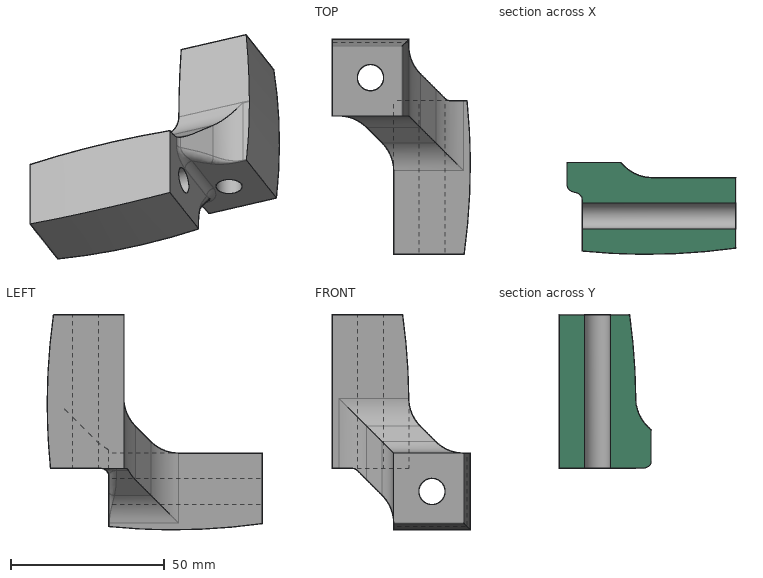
import cadquery as cq
import math

WIDTH_X = 45.0
SPAN = 70.0
ARM = 25.0
ARM_LENGTH = 50.0
BEVEL = ARM / 2
BLEND_RADIUS = 12.7
SMALL_BLEND_RADIUS = 2.5
CROWN_RADIUS = 210.0
CROWN_DISTANCE = 29.0
EDGE_ROUND = 0.25
TAPER_ROUND = 1.9
HOLE_DIAMETER = 8.45

LEVEL_X = WIDTH_X - ARM
UPRIGHT_Y = SPAN - ARM
UPRIGHT_BOTTOM = SPAN - ARM_LENGTH


def crown_drop(distance):
    """Depth of a crowned face below its highest line, at a distance from the arm's outer end."""
    offset = distance - CROWN_DISTANCE
    return CROWN_RADIUS - math.sqrt(CROWN_RADIUS**2 - offset**2)


END_DROP = crown_drop(0)
INNER_DROP = crown_drop(ARM_LENGTH)


def edge_near(body, point):
    """The edge whose centre is closest to a point."""
    return body.edges(cq.selectors.NearestToPointSelector(point))


def prism(plane, outline, depth, blended_corners):
    """Extrude an outline and blend the long edges through the listed outline corners."""
    body = outline.close().extrude(depth)
    for corner in blended_corners:
        middle = plane.toWorldCoords((*corner, depth / 2))
        body = edge_near(body, middle.toTuple()).fillet(BLEND_RADIUS)
    return body


def front_prism():
    """Outline in X and Z, swept through the whole depth along Y."""
    plane = cq.Plane.named("XZ")
    upper_outer = (ARM - crown_drop(SPAN - ARM - BEVEL), ARM + BEVEL)
    upper_inner = (ARM + BEVEL, ARM)
    lower_inner = (LEVEL_X, UPRIGHT_BOTTOM - BEVEL)
    lower_outer = (LEVEL_X - BEVEL, UPRIGHT_BOTTOM)
    outline = (
        cq.Workplane(plane)
        .moveTo(0, SPAN)
        .lineTo(ARM - END_DROP, SPAN)
        .threePointArc((ARM, SPAN - CROWN_DISTANCE), upper_outer)
        .lineTo(*upper_inner)
        .lineTo(WIDTH_X, ARM)
        .lineTo(WIDTH_X, 0)
        .lineTo(LEVEL_X, 0)
        .lineTo(*lower_inner)
        .lineTo(*lower_outer)
        .lineTo(0, UPRIGHT_BOTTOM)
    )
    return prism(plane, outline, -SPAN, [upper_outer, upper_inner, lower_inner])


def top_prism():
    """Outline in X and Y, swept through the whole height along Z."""
    plane = cq.Plane.named("XY")
    back_outer = (ARM, ARM_LENGTH + BEVEL)
    back_inner = (ARM + BEVEL, ARM_LENGTH)
    front_inner = (LEVEL_X, UPRIGHT_Y - BEVEL)
    front_outer = (LEVEL_X - BEVEL, UPRIGHT_Y)
    outline = (
        cq.Workplane(plane)
        .moveTo(0, SPAN)
        .lineTo(ARM, SPAN)
        .lineTo(*back_outer)
        .lineTo(*back_inner)
        .lineTo(WIDTH_X - INNER_DROP, ARM_LENGTH)
        .threePointArc((WIDTH_X, CROWN_DISTANCE), (WIDTH_X - END_DROP, 0))
        .lineTo(LEVEL_X, 0)
        .lineTo(*front_inner)
        .lineTo(*front_outer)
        .lineTo(0, UPRIGHT_Y)
    )
    return prism(plane, outline, SPAN, [back_outer, front_inner, front_outer])


def side_prism():
    """Outline in Y and Z, swept through the whole width along X."""
    plane = cq.Plane.named("YZ")
    inside_corner = (ARM_LENGTH, UPRIGHT_BOTTOM)
    bridge_front = (UPRIGHT_Y - BEVEL, ARM)
    bridge_back = (UPRIGHT_Y, ARM + BEVEL)
    outline = (
        cq.Workplane(plane)
        .moveTo(UPRIGHT_Y, SPAN)
        .lineTo(SPAN - END_DROP, SPAN)
        .threePointArc((SPAN, SPAN - CROWN_DISTANCE), (SPAN - INNER_DROP, UPRIGHT_BOTTOM))
        .lineTo(*inside_corner)
        .lineTo(ARM_LENGTH, INNER_DROP)
        .threePointArc((CROWN_DISTANCE, 0), (0, END_DROP))
        .lineTo(0, ARM)
        .lineTo(*bridge_front)
        .lineTo(*bridge_back)
    )
    return prism(plane, outline, WIDTH_X, [bridge_front, bridge_back])


def arm_holes():
    """One lengthwise hole through the middle of each arm."""
    radius = HOLE_DIAMETER / 2
    upright = (
        cq.Workplane("XY")
        .center(ARM / 2, SPAN - ARM / 2)
        .circle(radius)
        .extrude(SPAN)
    )
    level = (
        cq.Workplane("XZ")
        .center(WIDTH_X - ARM / 2, ARM / 2)
        .circle(radius)
        .extrude(-SPAN)
    )
    return upright.union(level)


def round_bridge_corners(body):
    """Round the two outer corners of the bridge, tapering along each blend to the arm's edge."""
    lower_corner = (LEVEL_X - BEVEL / 2, ARM_LENGTH, UPRIGHT_BOTTOM - BEVEL / 2)
    back_corner = (ARM + BEVEL / 2, ARM_LENGTH + BEVEL / 2, UPRIGHT_BOTTOM)
    taper = [
        (EDGE_ROUND, EDGE_ROUND),
        (EDGE_ROUND, TAPER_ROUND),
        (TAPER_ROUND, SMALL_BLEND_RADIUS),
    ]
    maker = cq.occ_impl.shapes.BRepFilletAPI_MakeFillet(body.val().wrapped)
    for corner in (lower_corner, back_corner):
        maker.Add(edge_near(body, corner).val().wrapped)
        chain = maker.NbContours()
        starts_at_arm = cq.Edge(maker.Edge(chain, 1)).Length() < BEVEL / 2
        for index, (arm_side, bridge_side) in enumerate(taper, start=1):
            if starts_at_arm:
                maker.SetRadius(arm_side, bridge_side, chain, index)
            else:
                maker.SetRadius(bridge_side, arm_side, chain, len(taper) + 1 - index)
    return cq.Workplane(obj=cq.Shape.cast(maker.Shape()))


def blend_inner_ends(body):
    """Blend the inside corner between the arms' inner ends, and on around the rounded bridge."""
    inside_corner = (WIDTH_X / 2, ARM_LENGTH, UPRIGHT_BOTTOM)
    return edge_near(body, inside_corner).fillet(SMALL_BLEND_RADIUS)


def round_outer_ends(body):
    """Lightly round each arm's end face where it meets the two crowned faces."""
    end_edges = [
        (ARM - END_DROP, SPAN - ARM / 2, SPAN),
        (ARM / 2, SPAN - END_DROP, SPAN),
        (WIDTH_X - END_DROP, 0, ARM / 2),
        (WIDTH_X - ARM / 2, 0, END_DROP),
    ]
    edges = [edge_near(body, point).val() for point in end_edges]
    return body.newObject(edges).fillet(EDGE_ROUND)


shared = front_prism().intersect(top_prism()).intersect(side_prism())
rounded = round_outer_ends(blend_inner_ends(round_bridge_corners(shared)))
result = rounded.cut(arm_holes())